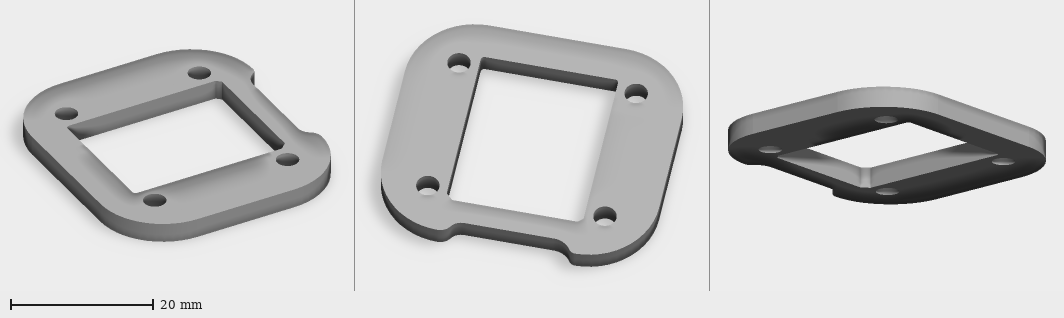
import cadquery as cq
import math

length = 39.77
width = 35.65
thickness = 3.0
corner_radius = 10.02

notch_depth = 1.9
left_shoulder_radius = 1.0
right_shoulder_radius = 2.0
notch_radii_sum = 3.98

window_length = 19.73
window_width = 24.8
window_left_chamfer = 0.68
window_right_chamfer = 1.0
window_bottom_radius = 0.5

hole_diameter = 3.3
hole_spacing_x = 25.45
hole_spacing_y = 21.4


def make_plate():
    plate = cq.Workplane("XY").box(length, width, thickness, centered=(True, True, False))
    return plate.edges("|Z").fillet(corner_radius)


def make_notch():
    """Cutter with two S-shaped sides, starting where the plate corners end."""
    top = width / 2
    floor = top - notch_depth
    mouth_x = length / 2 - corner_radius

    turn = math.acos(1 - notch_depth / notch_radii_sum)
    floor_x = mouth_x - notch_radii_sum * math.sin(turn)

    def shoulder_point(side, radius, angle):
        x = mouth_x - radius * math.sin(angle)
        return (side * x, top - radius * (1 - math.cos(angle)))

    def root_point(side, radius, angle):
        x = floor_x + radius * math.sin(angle)
        return (side * x, floor + radius * (1 - math.cos(angle)))

    left_root_radius = notch_radii_sum - left_shoulder_radius
    right_root_radius = notch_radii_sum - right_shoulder_radius
    return (
        cq.Workplane("XY")
        .moveTo(mouth_x, top)
        .threePointArc(
            shoulder_point(1, right_shoulder_radius, turn / 2),
            shoulder_point(1, right_shoulder_radius, turn),
        )
        .threePointArc(root_point(1, right_root_radius, turn / 2), (floor_x, floor))
        .lineTo(-floor_x, floor)
        .threePointArc(
            root_point(-1, left_root_radius, turn / 2),
            root_point(-1, left_root_radius, turn),
        )
        .threePointArc(shoulder_point(-1, left_shoulder_radius, turn / 2), (-mouth_x, top))
        .close()
        .extrude(thickness)
    )


def make_window():
    window = cq.Workplane("XY").box(
        window_length, window_width, thickness, centered=(True, True, False)
    )
    window = window.edges("|Z and <Y").fillet(window_bottom_radius)
    window = window.edges(cq.selectors.NearestToPointSelector(
        (-window_length / 2, window_width / 2, thickness / 2)
    )).chamfer(window_left_chamfer)
    return window.edges(cq.selectors.NearestToPointSelector(
        (window_length / 2, window_width / 2, thickness / 2)
    )).chamfer(window_right_chamfer)


def make_holes():
    return (
        cq.Workplane("XY")
        .rarray(hole_spacing_x, hole_spacing_y, 2, 2)
        .circle(hole_diameter / 2)
        .extrude(thickness)
    )


result = make_plate().cut(make_notch()).cut(make_window()).cut(make_holes())